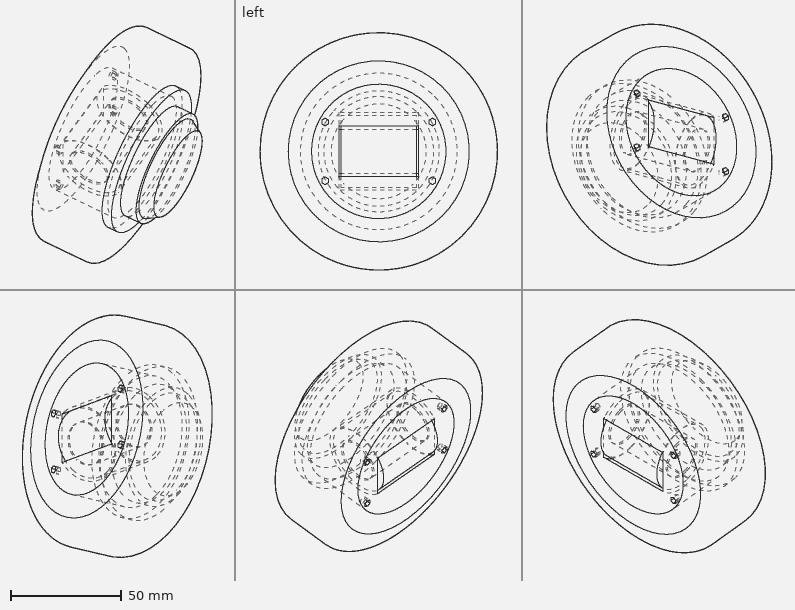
import cadquery as cq
import math


wheel_radius = 53.8
wheel_width = 31.0
front_face_radius = 41.0
front_cone_angle = 70.0
front_fillet = 3.0
rear_fillet = 2.0
bore_radius = 30.5

flange_radius = 35.5
flange_end = 36.0
hub_radius = 27.5
hub_end = 44.2
tip_base_radius = 24.9
tip_end_radius = 21.5
stud_end = 50.0

roller_radius = 16.4
roller_length = 34.0
roller_protrusion = 3.0
axle_radius = 10.0
axle_x = roller_radius - roller_protrusion

pocket_opening_height = 22.9
pocket_length = 36.0
pocket_radius = math.hypot(axle_x, pocket_opening_height / 2)

socket_corner_diameter = 3.5
socket_depth = 3.0
socket_spacing_y = 48.7
socket_spacing_z = 26.6


def revolve_about_x(profile):
    """Revolve an XY profile (Y is the radius) fully around the X axis."""
    return profile.revolve(360, (0, 0, 0), (1, 0, 0))


def cylinder_along_y(radius, length):
    """Cylinder on the axle line, centred on Y = 0."""
    start_plane = cq.Workplane("XZ", origin=(axle_x, length / 2, 0))
    return start_plane.circle(radius).extrude(length)


def make_wheel():
    cone_rise = wheel_radius - front_face_radius
    cone_end = cone_rise / math.tan(math.radians(front_cone_angle))
    profile = (
        cq.Workplane("XY")
        .moveTo(0, bore_radius)
        .lineTo(0, front_face_radius)
        .lineTo(cone_end, wheel_radius)
        .lineTo(wheel_width, wheel_radius)
        .lineTo(wheel_width, bore_radius)
        .close()
    )
    wheel = revolve_about_x(profile)
    outermost = cq.selectors.RadiusNthSelector(-1)
    wheel = wheel.faces(">X").edges("%CIRCLE").edges(outermost).fillet(rear_fillet)
    return wheel.faces("%CONE").edges("%CIRCLE").edges(outermost).fillet(front_fillet)


def make_stud():
    profile = (
        cq.Workplane("XY")
        .lineTo(0, bore_radius)
        .lineTo(wheel_width, bore_radius)
        .lineTo(wheel_width, flange_radius)
        .lineTo(flange_end, flange_radius)
        .lineTo(flange_end, hub_radius)
        .lineTo(hub_end, hub_radius)
        .lineTo(hub_end, tip_base_radius)
        .lineTo(stud_end, tip_end_radius)
        .lineTo(stud_end, 0)
        .close()
    )
    stud = revolve_about_x(profile)
    pocket = cylinder_along_y(pocket_radius, pocket_length)
    socket_plane = cq.Plane(origin=(0, 0, 0), xDir=(0, 0, 1), normal=(1, 0, 0))
    sockets = (
        cq.Workplane(socket_plane)
        .rect(socket_spacing_z, socket_spacing_y, forConstruction=True)
        .vertices()
        .polygon(6, socket_corner_diameter)
        .extrude(socket_depth)
    )
    return stud.cut(pocket).cut(sockets)


def make_roller():
    roller = cylinder_along_y(roller_radius, roller_length)
    return roller.cut(cylinder_along_y(axle_radius, roller_length))


def make_axle():
    """Axle through the roller, spanning the pocket between its end walls."""
    return cylinder_along_y(axle_radius, pocket_length)


wheel = make_wheel()
stud = make_stud()
roller = make_roller()
axle = make_axle()

result = cq.Compound.makeCompound([wheel.val(), stud.val(), roller.val(), axle.val()])